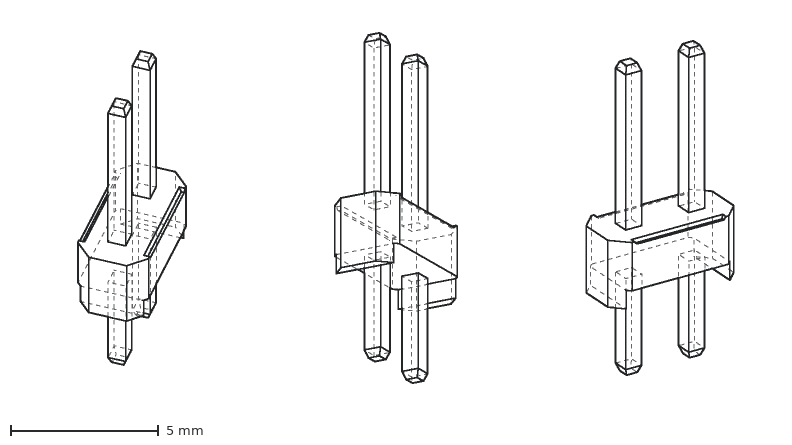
import cadquery as cq

pitch = 2.54
pin_count = 2

pin_length = 11.6
pin_width = 0.64
pin_tail = 3.0
tip_height = 0.28
tip_inset = 0.1

body_width = pitch
body_length = pin_count * pitch
body_height = 2.5
corner_chamfer = 0.59
foot_length = 0.45
standoff = 0.7

groove_width = 0.21
groove_depth = 0.1
groove_end_gap = 0.1

body_top = pin_tail + body_height


def make_body():
    """Block with chamfered corners and a channel along X that leaves a foot at each end."""
    block = (
        cq.Workplane("XY", origin=(0, 0, pin_tail))
        .rect(body_width, body_length)
        .extrude(body_height)
        .edges("|Z")
        .chamfer(corner_chamfer)
    )
    channel = (
        cq.Workplane("XY", origin=(0, 0, pin_tail))
        .rect(body_width, body_length - 2 * foot_length)
        .extrude(standoff)
    )
    return block.cut(channel)


def make_groove(side_x):
    """Shallow recess along a top edge, open to the side, with sloping walls."""
    groove_length = body_length - 2 * (corner_chamfer + groove_end_gap)
    floor_width = groove_width - groove_depth
    floor_length = groove_length - 2 * groove_depth
    return (
        cq.Workplane("XY", origin=(side_x, 0, body_top - groove_depth))
        .rect(2 * floor_width, floor_length)
        .workplane(offset=groove_depth)
        .rect(2 * groove_width, groove_length)
        .loft(ruled=True)
    )


def make_tip(y, base_z, height):
    """Tapered pin end; a negative height points it downwards."""
    end_width = pin_width - 2 * tip_inset
    return (
        cq.Workplane("XY", origin=(0, y, base_z))
        .rect(pin_width, pin_width)
        .workplane(offset=height)
        .rect(end_width, end_width)
        .loft(ruled=True)
    )


def make_pin(y):
    """Square pin with a tapered tip at both ends."""
    shaft_length = pin_length - 2 * tip_height
    shaft = (
        cq.Workplane("XY", origin=(0, y, tip_height))
        .rect(pin_width, pin_width)
        .extrude(shaft_length)
    )
    lower_tip = make_tip(y, tip_height, -tip_height)
    upper_tip = make_tip(y, pin_length - tip_height, tip_height)
    return shaft.union(lower_tip).union(upper_tip)


result = make_body()
for side in (-1, 1):
    result = result.cut(make_groove(side * body_width / 2))
for index in range(pin_count):
    pin_y = (index - (pin_count - 1) / 2) * pitch
    result = result.union(make_pin(pin_y))